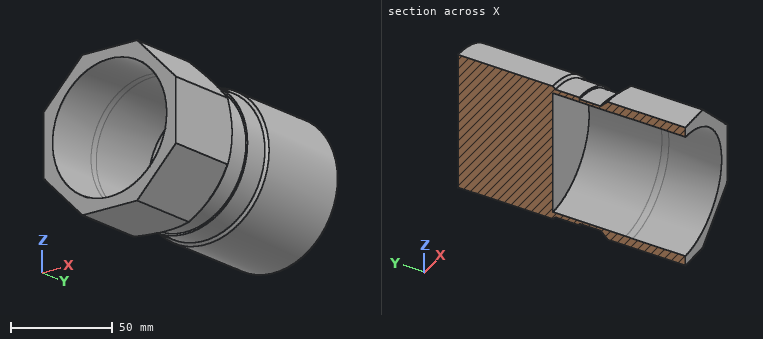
import cadquery as cq
import math

total_length = 129.0
across_flats = 84.0

neck_diameter = 76.0
collar_diameter = 78.0
barrel_diameter = 81.0
neck_start = 48.1
collar_start = 60.0
barrel_start = 75.1

mouth_diameter = 72.2
inner_diameter = 72.0
taper_start = 30.0
taper_end = 33.9
bore_depth = barrel_start

neck_radius = neck_diameter / 2
collar_radius = collar_diameter / 2
barrel_radius = barrel_diameter / 2
corner_radius = across_flats / 2 / math.cos(math.pi / 8)


def revolve_about_y(profile):
    """Solid of revolution from (radius, axial position) points."""
    return cq.Workplane("XY").polyline(profile).close().revolve(360, (0, 0), (0, 1))


def octagon_head():
    """Octagonal prism whose back corners are cut by a 45 degree cone."""
    prism = (
        cq.Workplane("XZ")
        .transformed(rotate=(0, 0, 180 / 8))
        .polygon(8, 2 * corner_radius)
        .extrude(-neck_start)
    )
    cone_start = neck_start - (corner_radius - neck_radius)
    envelope = revolve_about_y([
        (0, 0),
        (corner_radius, 0),
        (corner_radius, cone_start),
        (neck_radius, neck_start),
        (0, neck_start),
    ])
    return prism.intersect(envelope)


def stepped_body():
    """Neck, collar and barrel, with a 45 degree chamfer leading to the barrel."""
    chamfer_start = barrel_start - (barrel_radius - collar_radius)
    return revolve_about_y([
        (0, 0),
        (neck_radius, 0),
        (neck_radius, collar_start),
        (collar_radius, collar_start),
        (collar_radius, chamfer_start),
        (barrel_radius, barrel_start),
        (barrel_radius, total_length),
        (0, total_length),
    ])


def blind_bore():
    """Bore from the octagonal end, stopping at a flat floor."""
    return revolve_about_y([
        (0, 0),
        (mouth_diameter / 2, 0),
        (mouth_diameter / 2, taper_start),
        (inner_diameter / 2, taper_end),
        (inner_diameter / 2, bore_depth),
        (0, bore_depth),
    ])


result = octagon_head().union(stepped_body()).cut(blind_bore())